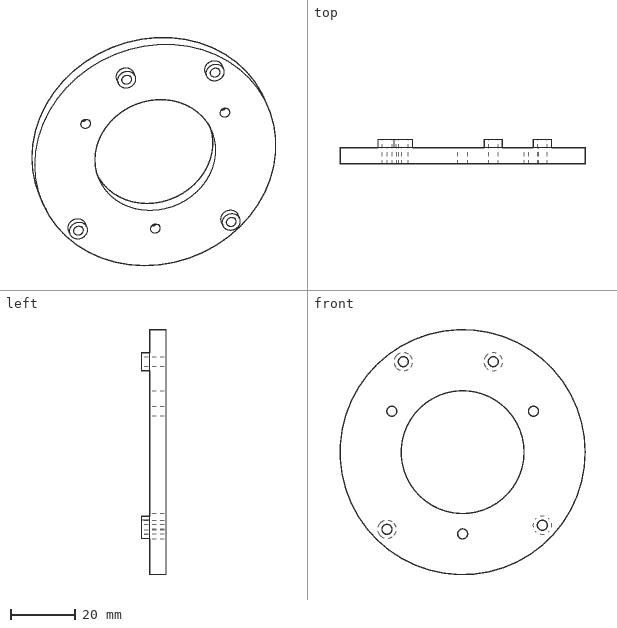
import cadquery as cq
import math

plate_diameter = 76.2
bore_diameter = plate_diameter / 2
plate_thickness = 5.08

hole_diameter = 3.05
bolt_circle_radius = 25.4
bolt_hole_angles = (30, 150, 270)

standoff_diameter = 5.71
standoff_height = 2.54
total_depth = plate_thickness + standoff_height

pattern_x = -23.5
pattern_z = -23.98
lower_right_step_x = 48.26
lower_right_step_z = 1.27
upper_left_step_x = 5.08
upper_pair_spacing = 27.94
upper_step_z = 52.07

upper_left_x = pattern_x + upper_left_step_x
upper_z = pattern_z + upper_step_z
standoff_points = [
    (pattern_x, pattern_z),
    (pattern_x + lower_right_step_x, pattern_z + lower_right_step_z),
    (upper_left_x, upper_z),
    (upper_left_x + upper_pair_spacing, upper_z),
]

bolt_points = [
    (
        bolt_circle_radius * math.cos(math.radians(angle)),
        bolt_circle_radius * math.sin(math.radians(angle)),
    )
    for angle in bolt_hole_angles
]


def cylinders(points, diameter, y_start, length):
    """Cylinders along +Y, centred on the given (x, z) points."""
    plane = cq.Workplane("XZ").workplane(offset=-y_start)
    return plane.pushPoints(points).circle(diameter / 2).extrude(-length)


def ring_plate():
    """Flat disc with a large central bore."""
    disc = cylinders([(0, 0)], plate_diameter, 0, plate_thickness)
    bore = cylinders([(0, 0)], bore_diameter, 0, plate_thickness)
    return disc.cut(bore)


standoffs = cylinders(standoff_points, standoff_diameter, plate_thickness, standoff_height)
screw_holes = cylinders(standoff_points + bolt_points, hole_diameter, 0, total_depth)

result = ring_plate().union(standoffs).cut(screw_holes)